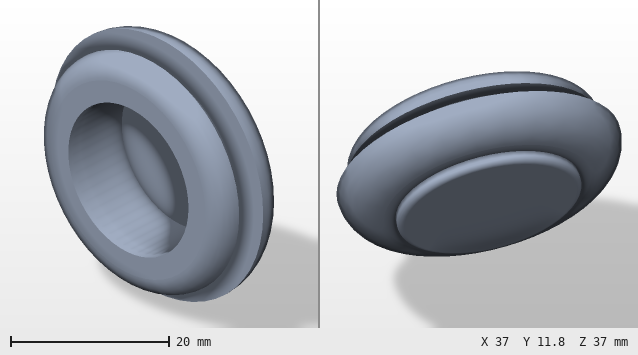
import cadquery as cq
import math

LIP_RADIUS = 16.5
GROOVE_RADIUS = 14.0
FLANGE_RADIUS = 18.5
CAP_RADIUS = 12.0
BORE_RADIUS = 10.5

LIP_LENGTH = 3.0
GROOVE_LENGTH = 2.3
FLANGE_LENGTH = 5.0
CAP_LENGTH = 1.5
END_WALL = 2.0

LIP_ROUND = LIP_LENGTH
FLANGE_ROUND = FLANGE_LENGTH
CAP_ROUND = CAP_LENGTH / 2

LIP_BACK = LIP_LENGTH
FLANGE_FRONT = LIP_BACK + GROOVE_LENGTH
FLANGE_BACK = FLANGE_FRONT + FLANGE_LENGTH
CAP_BACK = FLANGE_BACK + CAP_LENGTH
BORE_DEPTH = CAP_BACK - END_WALL

FRONTWARD = -1
BACKWARD = 1


def round_middle(center_x, center_y, radius, y_direction):
    """Middle of an outer quarter round; y_direction is 1 towards the back, -1 towards the front."""
    diagonal_step = radius / math.sqrt(2)
    return (center_x + diagonal_step, center_y + y_direction * diagonal_step)


def half_section():
    """Closed half profile in the XY plane, with the axis on X = 0."""
    lip_center_x = LIP_RADIUS - LIP_ROUND
    flange_center_x = FLANGE_RADIUS - FLANGE_ROUND
    cap_center_x = CAP_RADIUS - CAP_ROUND
    cap_center_y = CAP_BACK - CAP_ROUND
    return (
        cq.Workplane("XY")
        .moveTo(0, BORE_DEPTH)
        .lineTo(BORE_RADIUS, BORE_DEPTH)
        .lineTo(BORE_RADIUS, 0)
        .lineTo(lip_center_x, 0)
        .threePointArc(
            round_middle(lip_center_x, LIP_BACK, LIP_ROUND, FRONTWARD),
            (LIP_RADIUS, LIP_BACK),
        )
        .lineTo(GROOVE_RADIUS, LIP_BACK)
        .lineTo(GROOVE_RADIUS, FLANGE_FRONT)
        .lineTo(FLANGE_RADIUS, FLANGE_FRONT)
        .threePointArc(
            round_middle(flange_center_x, FLANGE_FRONT, FLANGE_ROUND, BACKWARD),
            (flange_center_x, FLANGE_BACK),
        )
        .lineTo(CAP_RADIUS, FLANGE_BACK)
        .lineTo(CAP_RADIUS, cap_center_y)
        .threePointArc(
            round_middle(cap_center_x, cap_center_y, CAP_ROUND, BACKWARD),
            (cap_center_x, CAP_BACK),
        )
        .lineTo(0, CAP_BACK)
        .close()
    )


result = half_section().revolve(360, (0, 0, 0), (0, 1, 0))